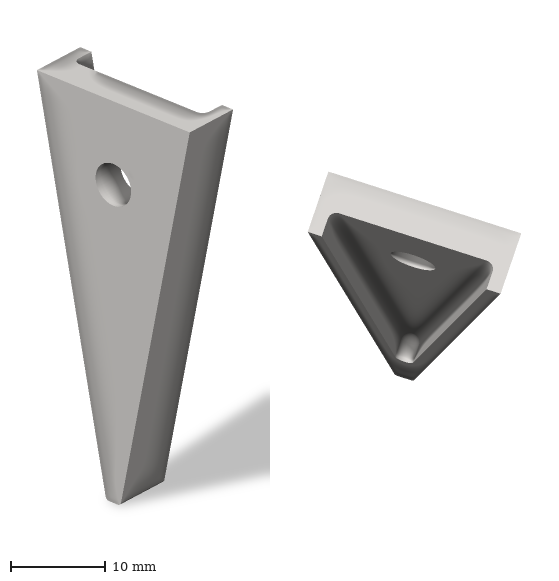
import cadquery as cq
import math

height = 48.15
top_width = 21.55
tip_width = 2.0
thickness = 7.0
tip_corner_radius = 0.5

wall = 1.55
pocket_depth = 3.0
pocket_tip_radius = 1.0
floor_fillet = 0.95

hole_diameter = 5.0
hole_below_top = 10.0

side_slope = (top_width - tip_width) / 2 / height
side_angle = math.atan(side_slope)


def make_body():
    """Tapered plate with its front face at Y = 0 and tip at Z = 0."""
    outline = [
        (-tip_width / 2, 0),
        (tip_width / 2, 0),
        (top_width / 2, height),
        (-top_width / 2, height),
    ]
    body = cq.Workplane("XZ").polyline(outline).close().extrude(-thickness)
    tip_corners = cq.selectors.BoxSelector(
        (-tip_width, -0.5, -0.5), (tip_width, thickness + 0.5, 0.5)
    )
    return body.edges("|Y").edges(tip_corners).fillet(tip_corner_radius)


def make_pocket():
    """Cutter parallel to the sides, with a round lower end and filleted floor."""
    half_width_at_center = (wall + pocket_tip_radius) / math.cos(side_angle)
    center_z = (half_width_at_center - tip_width / 2) / side_slope
    tangent_x = pocket_tip_radius * math.cos(side_angle)
    tangent_z = center_z - pocket_tip_radius * math.sin(side_angle)

    cutter_top = height + wall
    cutter_half_width = tangent_x + (cutter_top - tangent_z) * side_slope

    floor_y = thickness - pocket_depth
    cutter = (
        cq.Workplane("XZ", origin=(0, floor_y, 0))
        .moveTo(-cutter_half_width, cutter_top)
        .lineTo(-tangent_x, tangent_z)
        .threePointArc((0, center_z - pocket_tip_radius), (tangent_x, tangent_z))
        .lineTo(cutter_half_width, cutter_top)
        .close()
        .extrude(-pocket_depth)
    )
    return cutter.faces("<Y").edges("not(>Z)").fillet(floor_fillet)


def make_hole():
    return (
        cq.Workplane("XZ")
        .center(0, height - hole_below_top)
        .circle(hole_diameter / 2)
        .extrude(-thickness)
    )


result = make_body().cut(make_pocket()).cut(make_hole())